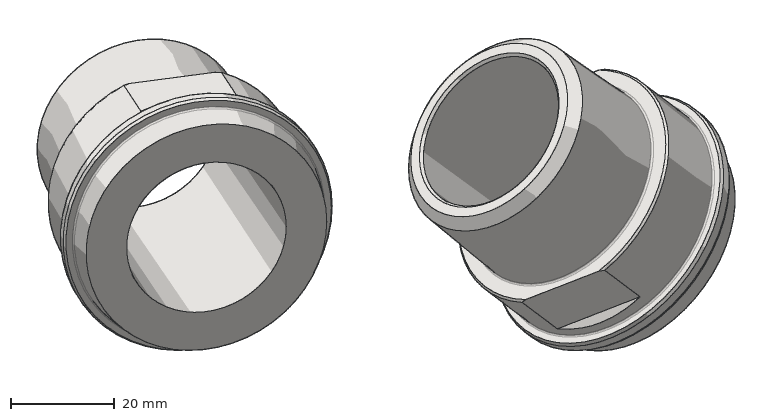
import cadquery as cq
import math

LENGTH = 47.5
SPIGOT_END = 23.65
COLLAR_START = 24.05
RING_START = 39.05
RING_END = 42.2

BORE_RADIUS = 32.0 / 2
SPIGOT_TIP_RADIUS = 20.65
SPIGOT_ROOT_RADIUS = 21.35
COLLAR_RADIUS = 50.0 / 2
RING_RADIUS = 54 / 2
NOSE_TIP_RADIUS = 24.15

TIP_CHAMFER = 2.05
BORE_CHAMFER = 0.55
COLLAR_CHAMFER = 0.45
RING_CHAMFER_LENGTH = 0.65
RING_CHAMFER_DEPTH = 0.4
ROOT_FILLET = COLLAR_START - SPIGOT_END
RING_FILLET = 0.3

FLAT_HEIGHT = 23.0
FLAT_END = 36.05
FLAT_END_ANGLE = 15


def turned_body():
    """Revolve the outer profile, including the bore, about the X axis."""
    fillet_top = COLLAR_RADIUS + RING_FILLET
    ring_shoulder = RING_RADIUS - RING_CHAMFER_DEPTH
    sag = 1 - math.sqrt(0.5)
    profile = (
        cq.Workplane("XY")
        .moveTo(0, BORE_RADIUS + BORE_CHAMFER)
        .lineTo(0, SPIGOT_TIP_RADIUS - TIP_CHAMFER)
        .lineTo(TIP_CHAMFER, SPIGOT_TIP_RADIUS)
        .lineTo(SPIGOT_END, SPIGOT_ROOT_RADIUS)
        .threePointArc(
            (COLLAR_START - sag * ROOT_FILLET, SPIGOT_ROOT_RADIUS + sag * ROOT_FILLET),
            (COLLAR_START, SPIGOT_ROOT_RADIUS + ROOT_FILLET),
        )
        .lineTo(COLLAR_START, COLLAR_RADIUS - COLLAR_CHAMFER)
        .lineTo(COLLAR_START + COLLAR_CHAMFER, COLLAR_RADIUS)
        .lineTo(RING_START - RING_FILLET, COLLAR_RADIUS)
        .threePointArc(
            (RING_START - sag * RING_FILLET, COLLAR_RADIUS + sag * RING_FILLET),
            (RING_START, fillet_top),
        )
        .lineTo(RING_START, ring_shoulder)
        .lineTo(RING_START + RING_CHAMFER_LENGTH, RING_RADIUS)
        .lineTo(RING_END - RING_CHAMFER_LENGTH, RING_RADIUS)
        .lineTo(RING_END, ring_shoulder)
        .lineTo(RING_END, fillet_top)
        .threePointArc(
            (RING_END + sag * RING_FILLET, COLLAR_RADIUS + sag * RING_FILLET),
            (RING_END + RING_FILLET, COLLAR_RADIUS),
        )
        .lineTo(LENGTH, NOSE_TIP_RADIUS)
        .lineTo(LENGTH, BORE_RADIUS)
        .lineTo(BORE_CHAMFER, BORE_RADIUS)
        .close()
    )
    return profile.revolve(360, (0, 0, 0), (1, 0, 0))


def flat_cutter():
    """Material above the upper flat, ending in a sloping face."""
    depth = COLLAR_RADIUS - FLAT_HEIGHT
    slope_run = depth * math.tan(math.radians(FLAT_END_ANGLE))
    return (
        cq.Workplane("XZ")
        .moveTo(COLLAR_START, FLAT_HEIGHT)
        .lineTo(FLAT_END, FLAT_HEIGHT)
        .lineTo(FLAT_END + slope_run, COLLAR_RADIUS)
        .lineTo(COLLAR_START, COLLAR_RADIUS)
        .close()
        .extrude(COLLAR_RADIUS, both=True)
    )


result = turned_body()
for flat_angle in (0, 180):
    result = result.cut(flat_cutter().rotate((0, 0, 0), (1, 0, 0), flat_angle))